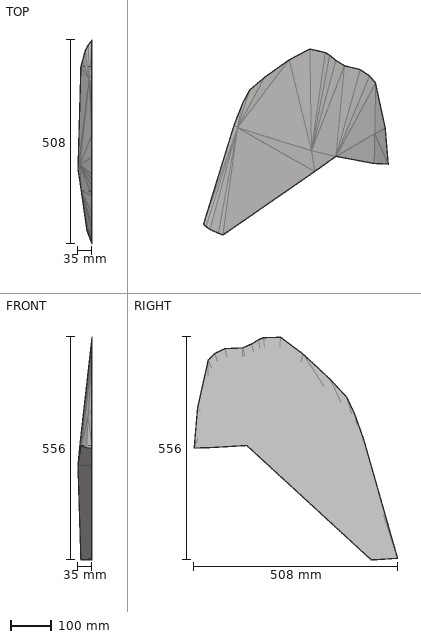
import cadquery as cq

LENGTH = 556.0
WIDTH = 508.0
MAX_HEIGHT = 35.0

SHOULDER = (0, 423.5, 300)
PEAK = (0, 215.5, LENGTH)
VALLEY = (0, 120.5, 529.0)
CORNER = (0, 35.0, 498.5)
SIDE = (0, 8.5, 378)
SIDE_END = (0, 0, 279.0)
FLANK = [SHOULDER, (0, 401.5, 363.0), (0, 381.5, 406), (0, 339.5, 451.0), (0, 272.5, 513.5), PEAK]
CREST = [PEAK, (0, 173.5, 554.5), (0, 161, 549.5), (0, 144.0, 539), VALLEY]
LOBE = [VALLEY, (0, 77.0, 527.5), (0, 51.5, 515.0), CORNER]

CREASE_END = (6.5, 411.5, 297.5)
CREASE_RIDGE = (30.0, 197.5, 289)
NOTCH = (26.5, 132.0, 285.0)

WING_FOOT = (13.0, 33.5, 279.5)
WING_KNEE = (9.0, 33.5, 361)

TOE = [(0, WIDTH, 4.0), (9.0, 497.0, 3.5), (16.5, 482.5, 2.0), (24.0, 456, 0.5), (28, 442.0, 0)]
SLANT_HIGH = (MAX_HEIGHT, 186.0, 235.0)


def place(corner):
    """Put a corner in space, with its height measured toward -X."""
    height, y, z = corner
    return cq.Vector(-height, y, z)


def polygon(corners):
    """Make a flat face through the corners."""
    wire = cq.Wire.makePolygon([place(corner) for corner in corners], close=True)
    return cq.Face.makeFromWires(wire)


def fan(apex, edge):
    """Join the apex to each step of an edge with a triangle."""
    return [polygon([apex, start, end]) for start, end in zip(edge, edge[1:])]


def on_back(corner):
    """Drop a corner onto the flat back."""
    return (0, corner[1], corner[2])


def wall(start, end):
    """Close the gap between a raised edge and the back."""
    corners = [start, end]
    for corner in (end, start):
        if corner[0] > 0:
            corners.append(on_back(corner))
    return polygon(corners)


upper = fan(CREASE_END, FLANK[:-1])
upper += fan(CREASE_RIDGE, [CREASE_END] + FLANK[-2:])
upper += fan(CREASE_RIDGE, CREST + [NOTCH])

wing = fan(NOTCH, LOBE + [WING_KNEE, WING_FOOT])
wing += fan(WING_KNEE, [CORNER, SIDE, SIDE_END, WING_FOOT])

lower = fan(CREASE_END, [SHOULDER] + TOE + [SLANT_HIGH, CREASE_RIDGE])
lower += fan(CREASE_RIDGE, [SLANT_HIGH, NOTCH])

wall_edge = TOE + [SLANT_HIGH, NOTCH, WING_FOOT, SIDE_END]
walls = [wall(start, end) for start, end in zip(wall_edge, wall_edge[1:])]

feather_edge = FLANK + CREST[1:] + LOBE[1:] + [SIDE]
back = polygon(feather_edge + [on_back(corner) for corner in reversed(wall_edge)])

shell = cq.Shell.makeShell(upper + wing + lower + walls + [back])
result = cq.Workplane("XY").newObject([cq.Solid.makeSolid(shell).fix()])